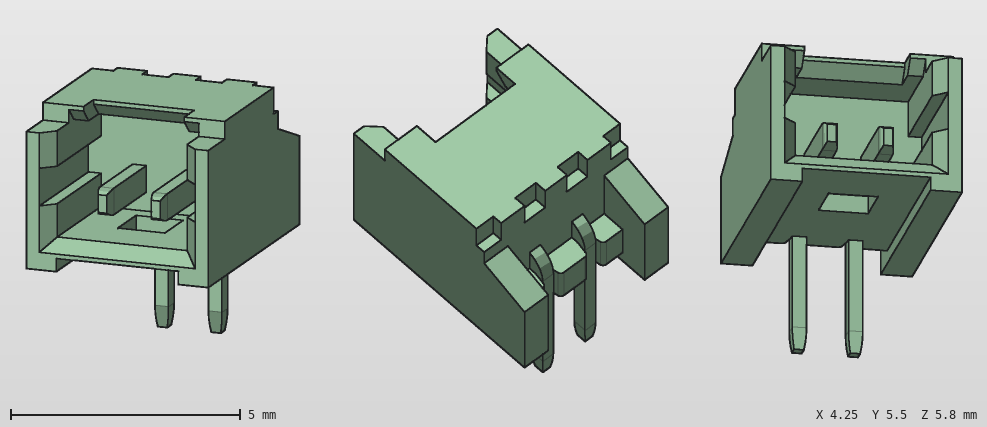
import cadquery as cq
import math


width = 4.25
depth = 5.5
height = 3.5
wall_top = 3.1
roof_front = 1.0
back_wall = 4.2
leg_width = 0.7
leg_top_front = 2.5
leg_top_rear = 2.0
standoff = 0.3

cavity_width = 3.04
cavity_floor = 0.7
cavity_ceiling = wall_top
cavity_back = 2.95
lead_in = 0.3
groove_bottom = 1.45
groove_top = 2.3
roof_notch_width = 2.35
roof_notch_back = 1.6
floor_window_width = 1.1
floor_window_front = 1.45
floor_window_back = floor_window_front + floor_window_width

notch_bottom = 2.9
side_notch_width = 0.5
side_notch_depth = 0.25
pin_notch_width = 0.61
pin_notch_depth = 0.3

pitch = 1.25
pin_positions = (-pitch / 2, pitch / 2)
pin_width = 0.32
pin_bottom = 1.13
pin_top = 1.73
pin_front = 0.71
front_tip_length = 0.29
front_tip_side_inset = 0.06
front_tip_height_inset = 0.1
tail_front = 4.275
tail_rear = 4.625
tail_end = -2.3
tail_tip_length = 0.5
tail_tip_inset = 0.05
bend_radius = 0.65
mid_taper_share = 0.25

ledge_rear = 4.79
ledge_top = pin_bottom
slot_front = 4.38
slot_mouth_width = 0.46
slot_corner_radius = 0.1

half_width = width / 2
half_cavity = cavity_width / 2
half_mouth = half_cavity + lead_in
inner_width = width - 2 * leg_width
overrun = 1.0


def block(x0, x1, y0, y1, z0, z1):
    """Axis-aligned box between two opposite corners."""
    return cq.Workplane("XY").box(x1 - x0, y1 - y0, z1 - z0, centered=False).translate((x0, y0, z0))


def centred_block(block_width, y0, y1, z0, z1, x=0.0):
    """Box centred on the given X."""
    return block(x - block_width / 2, x + block_width / 2, y0, y1, z0, z1)


def extrude_along_x(profile, length):
    """Extrude a closed YZ profile symmetrically about X = 0."""
    return profile.close().extrude(length / 2, both=True)


def make_shell():
    """Stepped side outline, relieved underneath and between the rear legs."""
    outline = (
        cq.Workplane("YZ")
        .moveTo(0, 0)
        .lineTo(depth, 0)
        .lineTo(depth, leg_top_rear)
        .lineTo(back_wall, leg_top_front)
        .lineTo(back_wall, height)
        .lineTo(roof_front, height)
        .lineTo(roof_front, wall_top)
        .lineTo(0, wall_top)
    )
    shell = extrude_along_x(outline, width)
    shell = shell.cut(centred_block(inner_width, 0, depth, 0, standoff))
    return shell.cut(centred_block(inner_width, back_wall, depth, 0, height))


def mouth_lead_in():
    """Tapered mouth on the cavity floor and both side walls."""
    top = height + overrun
    mouth_floor = cavity_floor - lead_in
    return (
        cq.Workplane("XZ")
        .center(0, (mouth_floor + top) / 2)
        .rect(2 * half_mouth, top - mouth_floor)
        .workplane(offset=-lead_in)
        .center(0, lead_in / 2)
        .rect(cavity_width, top - cavity_floor)
        .loft(ruled=True)
    )


def roof_lead_in(cut_width, roof_edge):
    """Wedge that bevels the underside of the roof behind the given front edge."""
    wedge = (
        cq.Workplane("YZ")
        .moveTo(roof_edge, cavity_ceiling)
        .lineTo(roof_edge, cavity_ceiling + lead_in)
        .lineTo(roof_edge + lead_in, cavity_ceiling)
    )
    return extrude_along_x(wedge, cut_width)


def cut_cavity(body):
    """Cavity with side grooves, lead-ins, roof notch and floor window."""
    body = body.cut(centred_block(cavity_width, 0, cavity_back, cavity_floor, cavity_ceiling))
    body = body.cut(centred_block(2 * half_mouth, 0, cavity_back, groove_bottom, groove_top))
    body = body.cut(mouth_lead_in())
    body = body.cut(roof_lead_in(cavity_width, roof_front))
    body = body.cut(centred_block(roof_notch_width, 0, roof_notch_back, cavity_ceiling, height))
    body = body.cut(roof_lead_in(roof_notch_width, roof_notch_back))
    return body.cut(
        centred_block(floor_window_width, floor_window_front, floor_window_back, 0, cavity_floor)
    )


def cut_rear_notches(body):
    """Notches in the top rear edge: one at each side and one above each pin."""
    side_front = back_wall - side_notch_depth
    side_centre = half_width - side_notch_width / 2
    for x in (-side_centre, side_centre):
        body = body.cut(centred_block(side_notch_width, side_front, back_wall, notch_bottom, height, x))
    pin_notch_front = back_wall - pin_notch_depth
    for x in pin_positions:
        body = body.cut(centred_block(pin_notch_width, pin_notch_front, back_wall, notch_bottom, height, x))
    return body


def make_ledge():
    """Low ledge between the rear legs with a flared slot at each pin tail."""
    ledge = centred_block(inner_width, back_wall, ledge_rear, standoff, ledge_top)
    for x in pin_positions:
        slot = (
            cq.Workplane("XY")
            .moveTo(x - pin_width / 2, slot_front)
            .lineTo(x - slot_mouth_width / 2, ledge_rear)
            .lineTo(x + slot_mouth_width / 2, ledge_rear)
            .lineTo(x + pin_width / 2, slot_front)
            .close()
            .extrude(height)
        )
        ledge = ledge.cut(slot)
    slot_corners = cq.selectors.BoxSelector(
        (-pitch, ledge_rear - slot_corner_radius, 0),
        (pitch, ledge_rear + slot_corner_radius, height),
    )
    return ledge.edges("|Z").edges(slot_corners).fillet(slot_corner_radius)


def pin_side_body():
    """Bent pin in side profile, with both tips narrowing along arcs."""
    tip_start = pin_front + front_tip_length
    tip_middle = pin_front + front_tip_length / 2
    tail_start = tail_end + tail_tip_length
    tail_middle = tail_end + tail_tip_length / 2
    bend_y = tail_rear - bend_radius
    bend_z = pin_top - bend_radius
    bend_offset = bend_radius * math.cos(math.radians(45))
    height_bulge = front_tip_height_inset * mid_taper_share
    tail_bulge = tail_tip_inset * mid_taper_share
    lower_tip_z = pin_bottom + front_tip_height_inset
    profile = (
        cq.Workplane("YZ")
        .moveTo(pin_front, lower_tip_z)
        .lineTo(pin_front, pin_top - front_tip_height_inset)
        .threePointArc((tip_middle, pin_top - height_bulge), (tip_start, pin_top))
        .lineTo(bend_y, pin_top)
        .threePointArc((bend_y + bend_offset, bend_z + bend_offset), (tail_rear, bend_z))
        .lineTo(tail_rear, tail_start)
        .threePointArc((tail_rear - tail_bulge, tail_middle), (tail_rear - tail_tip_inset, tail_end))
        .lineTo(tail_front + tail_tip_inset, tail_end)
        .threePointArc((tail_front + tail_bulge, tail_middle), (tail_front, tail_start))
        .lineTo(tail_front, pin_bottom)
        .lineTo(tip_start, pin_bottom)
        .threePointArc((tip_middle, pin_bottom + height_bulge), (pin_front, lower_tip_z))
    )
    return extrude_along_x(profile, pin_width)


def tapered_strip(plane, tip, tip_length, inset, far_end):
    """Closed outline of pin width whose end at `tip` narrows along arcs."""
    half = pin_width / 2
    start = tip + tip_length
    middle = tip + tip_length / 2
    bulge = inset * mid_taper_share
    return (
        cq.Workplane(plane)
        .moveTo(-half + inset, tip)
        .threePointArc((-half + bulge, middle), (-half, start))
        .lineTo(-half, far_end)
        .lineTo(half, far_end)
        .lineTo(half, start)
        .threePointArc((half - bulge, middle), (half - inset, tip))
        .close()
    )


def make_pin():
    """Pin at X = 0, its side body trimmed to the taper of both tips."""
    front_taper = tapered_strip("XY", pin_front, front_tip_length, front_tip_side_inset, depth)
    tail_taper = tapered_strip("XZ", tail_end, tail_tip_length, tail_tip_inset, height)
    pin = pin_side_body().intersect(front_taper.extrude(height, both=True))
    return pin.intersect(tail_taper.extrude(-depth))


result = make_shell()
result = cut_cavity(result)
result = cut_rear_notches(result)
result = result.union(make_ledge())
for pin_x in pin_positions:
    result = result.union(make_pin().translate((pin_x, 0, 0)))